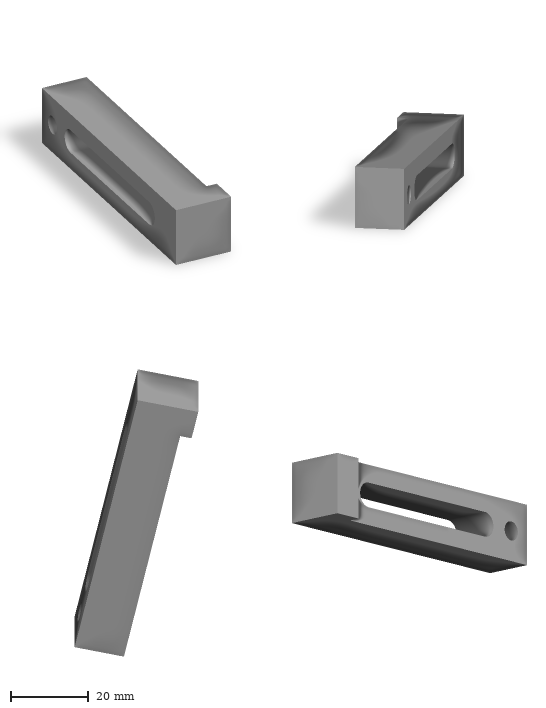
import cadquery as cq

length = 75.0
height = 16.0
depth = 16.0

lip_length = 8.0
lip_depth = 3.0

hole_diameter = 5.0
hole_x = 6.0

slot_width = 6.5
slot_start_x = 12.75
slot_end_x = 63.15
slot_length = slot_end_x - slot_start_x
slot_center_x = (slot_start_x + slot_end_x) / 2

bar_depth = depth - lip_depth
mid_height = height / 2


def make_body():
    """L-shaped plan: the bar with its end lip, extruded upward."""
    return (
        cq.Workplane("XY")
        .moveTo(0, 0)
        .lineTo(length, 0)
        .lineTo(length, depth)
        .lineTo(length - lip_length, depth)
        .lineTo(length - lip_length, bar_depth)
        .lineTo(0, bar_depth)
        .close()
        .extrude(height)
    )


def front_plane(x):
    """Sketch plane on the front face, centered at x and mid-height."""
    return cq.Workplane("XZ", origin=(x, 0, mid_height))


hole = front_plane(hole_x).circle(hole_diameter / 2).extrude(-depth)
slot = front_plane(slot_center_x).slot2D(slot_length, slot_width).extrude(-depth)

result = make_body().cut(hole).cut(slot)